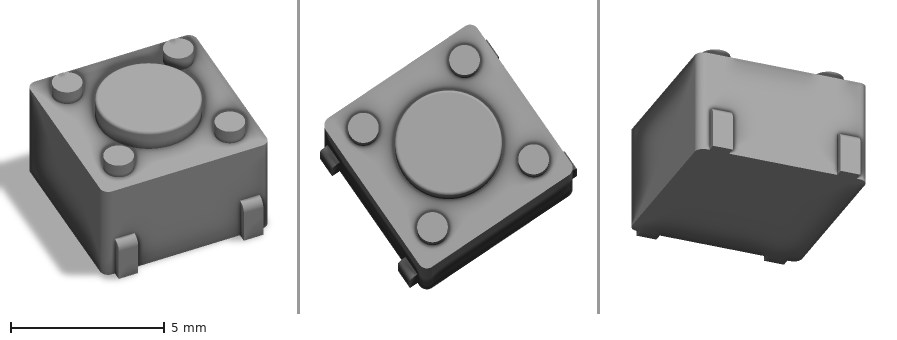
import cadquery as cq

overall_length = 6.6
body_side = 6.0
overall_height = 4.3

housing_top = 3.6
corner_radius = 0.3

button_diameter = 3.5
button_edge_radius = 0.1

post_diameter = 1.0
post_top = 4.1
post_offset = 2.0

terminal_width = 0.7
terminal_height = 1.5
terminal_offset = 2.25
terminal_thickness = (overall_length - body_side) / 2


def make_housing():
    """Square block with rounded vertical edges."""
    block = cq.Workplane("XY").rect(body_side, body_side).extrude(housing_top)
    return block.edges("|Z").fillet(corner_radius)


def make_button():
    """Push button rising from the housing, with a rounded top edge."""
    button = (
        cq.Workplane("XY")
        .workplane(offset=housing_top)
        .circle(button_diameter / 2)
        .extrude(overall_height - housing_top)
    )
    return button.faces(">Z").edges().fillet(button_edge_radius)


def make_posts():
    """Round posts near the corners of the housing top."""
    return (
        cq.Workplane("XY")
        .workplane(offset=housing_top)
        .rect(2 * post_offset, 2 * post_offset, forConstruction=True)
        .vertices()
        .circle(post_diameter / 2)
        .extrude(post_top - housing_top)
    )


def make_terminal(side, y_center):
    """Upright terminal whose outer top edge is a quarter round as deep as the terminal."""
    inner = side * body_side / 2
    outer = side * overall_length / 2
    shoulder = terminal_height - terminal_thickness
    diagonal = terminal_thickness * 0.5**0.5
    return (
        cq.Workplane("XZ", origin=(0, y_center + terminal_width / 2, 0))
        .moveTo(inner, 0)
        .lineTo(outer, 0)
        .lineTo(outer, shoulder)
        .threePointArc((inner + side * diagonal, shoulder + diagonal), (inner, terminal_height))
        .close()
        .extrude(terminal_width)
    )


result = make_housing().union(make_button()).union(make_posts())
for side in (-1, 1):
    for y_center in (-terminal_offset, terminal_offset):
        result = result.union(make_terminal(side, y_center))